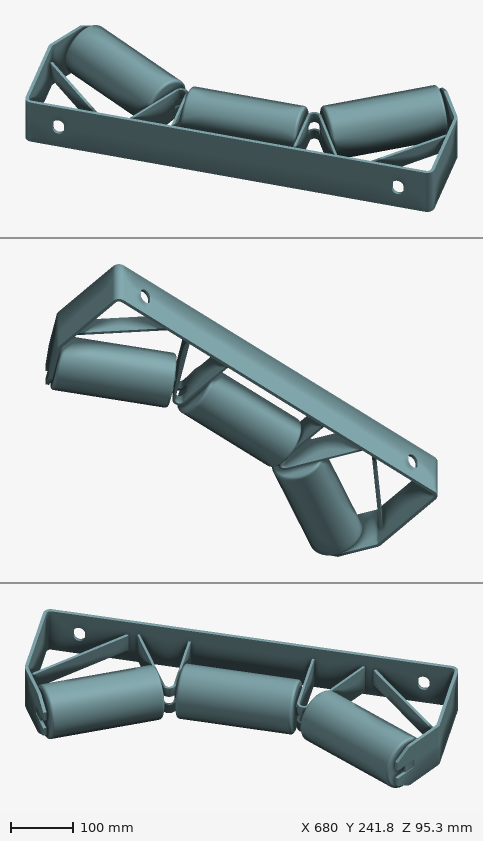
import cadquery as cq
import math


FRAME_LENGTH = 680.0
FRAME_WIDTH = 80.0
FRAME_THICKNESS = 5.5
BEND_RADIUS = 12.0
ARM_ANGLE = 60.0
ARM_BEYOND_AXIS = 30.0
ARM_CHAMFER_LENGTH = 28.5
ARM_CHAMFER_DEPTH = 16.0
BOLT_SLOT_X = 282.0
BOLT_SLOT_WIDTH = 19.0
BOLT_SLOT_LENGTH = 27.0

ROLLER_DIAMETER = 89.0
ROLLER_LENGTH = 190.5
ROLLER_FILLET = 5.0
SHAFT_DEPTH = 19.0
SHAFT_HEIGHT = 16.0
SHAFT_CORNER_RADIUS = 4.0
SLOT_MARGIN = 10.0
ROLLER_GAP = 4.0
CENTRE_AXIS_Y = 98.5
CENTRE_AXIS_Z = -7.5
SIDE_TILT = 1.9

BRACKET_THICKNESS = 4.0
BRACKET_WIDTH = 52.0
BRACKET_BEND_RADIUS = 11.5
BRACKET_BEND_Y = 115.5
SEAT_BELOW_BEND = 15.5

BRACE_THICKNESS = 5.0
BRACE_WIDTH = 30.0
BRACE_REACH = 130.5

HALF_LENGTH = FRAME_LENGTH / 2
SUPPORT_DISTANCE = ROLLER_LENGTH / 2 + ROLLER_GAP
SHAFT_LENGTH = 2 * (SUPPORT_DISTANCE + BRACKET_THICKNESS)
SLOPE = math.radians(ARM_ANGLE)
ALONG = (math.cos(SLOPE), math.sin(SLOPE))
INWARD = (math.sin(SLOPE), -math.cos(SLOPE))


def offset(point, *moves):
    """Move a point by (distance, direction) pairs."""
    x, y = point
    for distance, direction in moves:
        x += distance * direction[0]
        y += distance * direction[1]
    return (x, y)


BEND_CENTRE = (-SUPPORT_DISTANCE - BRACKET_BEND_RADIUS, BRACKET_BEND_Y)
LEG_TANGENT = offset(BEND_CENTRE, (-BRACKET_BEND_RADIUS, INWARD))
INNER_SEAT = offset(LEG_TANGENT, (-SEAT_BELOW_BEND, ALONG))
SIDE_CENTRE = offset(INNER_SEAT, (-SUPPORT_DISTANCE, INWARD))
SIDE_AXIS_Z = CENTRE_AXIS_Z + SUPPORT_DISTANCE * math.sin(math.radians(SIDE_TILT))
ARM_FOOT = offset(SIDE_CENTRE, (-SUPPORT_DISTANCE - FRAME_THICKNESS, INWARD))
ARM_TIP = offset(ARM_FOOT, (ARM_BEYOND_AXIS, ALONG))
ARM_CORNER_Y = ARM_FOOT[1] - (ARM_FOOT[0] + HALF_LENGTH) * math.tan(SLOPE)


def mirrored(body):
    """Copy a left-hand body to the right-hand side."""
    return body.mirror("YZ")


def place_on_side(body):
    """Carry a body from the roller's own axes to the left side roller."""
    tilted = body.rotate((0, 0, 0), (0, 1, 0), SIDE_TILT)
    turned = tilted.rotate((0, 0, 0), (0, 0, 1), ARM_ANGLE - 90)
    return turned.translate((*SIDE_CENTRE, SIDE_AXIS_Z))


def place_in_centre(body):
    return body.translate((0, CENTRE_AXIS_Y, CENTRE_AXIS_Z))


def make_shaft_bar(length, depth):
    """Flat-sided bar along X, rounded on the edges that face the slot bottom at -Y."""
    return (
        cq.Workplane("XY")
        .box(length, depth, SHAFT_HEIGHT, centered=(True, False, True))
        .translate((0, -SHAFT_DEPTH / 2, 0))
        .edges("|X and <Y")
        .fillet(SHAFT_CORNER_RADIUS)
    )


def make_roller():
    """Roller along X with a flat-sided shaft sticking out of both ends."""
    shell = (
        cq.Workplane("YZ", origin=(-ROLLER_LENGTH / 2, 0, 0))
        .circle(ROLLER_DIAMETER / 2)
        .extrude(ROLLER_LENGTH)
        .edges()
        .fillet(ROLLER_FILLET)
    )
    return shell.union(make_shaft_bar(SHAFT_LENGTH, SHAFT_DEPTH))


def make_shaft_slot():
    """Cutter for the open slots that a roller's shaft drops into along -Y."""
    length = 2 * (SUPPORT_DISTANCE + FRAME_THICKNESS + SLOT_MARGIN)
    return make_shaft_bar(length, SHAFT_DEPTH + ARM_BEYOND_AXIS)


def make_frame():
    """Bent strip: base, two walls and two inclined arms that hold the outer shaft ends."""
    half_bend_slope = math.tan((math.pi / 2 - SLOPE) / 2)
    left_outer = [ARM_TIP, (-HALF_LENGTH, ARM_CORNER_Y), (-HALF_LENGTH, 0)]
    inner_x = -HALF_LENGTH + FRAME_THICKNESS
    inner_corner_y = ARM_CORNER_Y - FRAME_THICKNESS * half_bend_slope
    left_inner = [
        (inner_x, FRAME_THICKNESS),
        (inner_x, inner_corner_y),
        offset(ARM_TIP, (FRAME_THICKNESS, INWARD)),
    ]
    right_outer = [(-x, y) for x, y in reversed(left_outer)]
    right_inner = [(-x, y) for x, y in reversed(left_inner)]
    frame = (
        cq.Workplane("XY")
        .polyline(left_outer + right_outer + right_inner + left_inner)
        .close()
        .extrude(FRAME_WIDTH / 2, both=True)
    )
    for points, radius in (
        (left_outer[1:] + right_outer[:2], BEND_RADIUS),
        (left_inner[:2] + right_inner[1:], BEND_RADIUS - FRAME_THICKNESS),
    ):
        for x, y in points:
            frame = frame.edges(cq.selectors.NearestToPointSelector((x, y, 0))).fillet(radius)
    bolt_slots = (
        cq.Workplane("XZ")
        .pushPoints([(-BOLT_SLOT_X, 0), (BOLT_SLOT_X, 0)])
        .slot2D(BOLT_SLOT_LENGTH, BOLT_SLOT_WIDTH, 90)
        .extrude(-2 * FRAME_THICKNESS)
    )
    frame = frame.cut(bolt_slots)
    for left_cutter in (make_arm_corners(), place_on_side(make_shaft_slot())):
        frame = frame.cut(left_cutter).cut(mirrored(left_cutter))
    return frame


def make_arm_corners():
    """Left pair of wedges that bevel the upper and lower corners of the arm end."""
    arm_plane = cq.Plane(origin=(*ARM_TIP, 0), xDir=(*ALONG, 0), normal=(*INWARD, 0))
    wedges = cq.Workplane(arm_plane)
    for side in (-1, 1):
        edge = side * FRAME_WIDTH / 2
        bevel_end = edge - side * ARM_CHAMFER_DEPTH
        wedges = wedges.polyline([(0, edge), (-ARM_CHAMFER_LENGTH, edge), (0, bevel_end)]).close()
    return wedges.extrude(FRAME_THICKNESS)


def make_bracket():
    """Left bracket: an upright leg bent over into a slanted leg, slotted for two shafts."""
    inner_radius = BRACKET_BEND_RADIUS - BRACKET_THICKNESS
    leg_inner = offset(LEG_TANGENT, (BRACKET_THICKNESS, INWARD))
    leg_length = (leg_inner[1] - FRAME_THICKNESS) / ALONG[1]
    crown = math.radians(ARM_ANGLE + 90) / 2
    crown_direction = (math.cos(crown), math.sin(crown))
    upright_x = BEND_CENTRE[0] + inner_radius
    blank = (
        cq.Workplane("XY")
        .moveTo(-SUPPORT_DISTANCE, FRAME_THICKNESS)
        .lineTo(-SUPPORT_DISTANCE, BRACKET_BEND_Y)
        .threePointArc(offset(BEND_CENTRE, (BRACKET_BEND_RADIUS, crown_direction)), LEG_TANGENT)
        .lineTo(*offset(LEG_TANGENT, (-leg_length, ALONG)))
        .lineTo(*offset(leg_inner, (-leg_length, ALONG)))
        .lineTo(*leg_inner)
        .threePointArc(offset(BEND_CENTRE, (inner_radius, crown_direction)), (upright_x, BRACKET_BEND_Y))
        .lineTo(upright_x, FRAME_THICKNESS)
        .close()
        .extrude(BRACKET_WIDTH / 2, both=True)
        .translate((0, 0, CENTRE_AXIS_Z))
    )
    slot = make_shaft_slot()
    return blank.cut(place_in_centre(slot)).cut(place_on_side(slot))


def make_brace():
    """Left diagonal flat bar with square ends, from the frame wall to the base strip."""
    wall_x = -HALF_LENGTH + FRAME_THICKNESS
    shift = BRACE_THICKNESS * math.sqrt(0.5)
    wall_end = (wall_x, FRAME_THICKNESS + BRACE_REACH)
    base_end = (wall_x + BRACE_REACH, FRAME_THICKNESS)
    return (
        cq.Workplane("XY")
        .polyline([
            wall_end,
            base_end,
            (base_end[0] + shift, base_end[1] + shift),
            (wall_end[0] + shift, wall_end[1] + shift),
        ])
        .close()
        .extrude(BRACE_WIDTH / 2, both=True)
    )


frame = make_frame()
centre_roller = place_in_centre(make_roller())
left_roller = place_on_side(make_roller())

bodies = [frame.val(), centre_roller.val()]
for left_body in (left_roller, make_bracket(), make_brace()):
    bodies.append(left_body.val())
    bodies.append(mirrored(left_body).val())

result = cq.Compound.makeCompound(bodies)